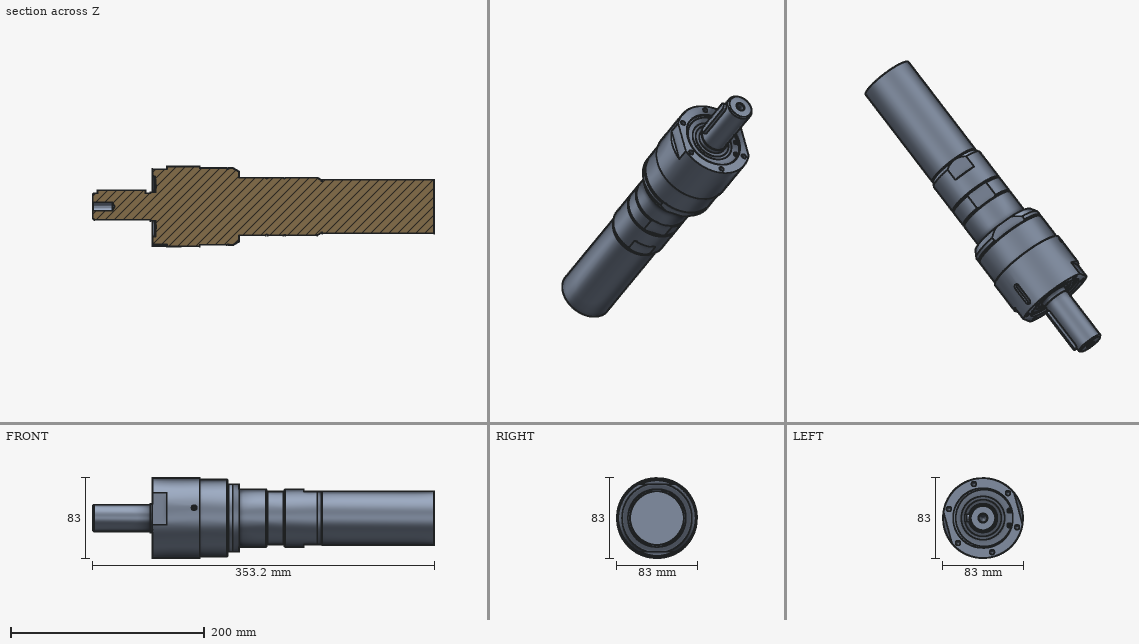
import cadquery as cq
import math

total_length = 353.2
collar_start = 59.6
body_start = 61.8
body_end = 110.7
sleeve_end = 139.7
nut_end = 151.4
neck_end = 180.0
ring_end = 198.3
locknut_end = 236.5
tail_start = 237.3

shaft_diameter = 28.0
collar_diameter = 30.0
body_diameter = 83.0
sleeve_diameter = 80.0
neck_diameter = 60.0
tail_groove_diameter = 53.27
tail_diameter = 56.0

shaft_chamfer = 1.5
joint_chamfer = 1.0
nut_taper_length = 6.6
locknut_taper_length = 4.4
taper_angle = 30.0

nut_across_flats = 70.0
ring_across_flats = 55.0
locknut_flat_length = 18.0
body_across_flats = 75.5
body_flat_length = 15.0
body_flat_tilt = 15.0

key_start = 4.7
key_length = 50.0
key_width = 8.0
key_top = 17.0

slot_start = 66.5
slot_length = 25.0
slot_width = 6.0
slot_depth = 4.0
slot_angle = 45.0
side_hole_x = 104.9
side_hole_mouth_diameter = 5.5
side_hole_diameter = 3.6
side_hole_depth = 10.0

bolt_count = 6
bolt_circle_radius = 36.5
bolt_hole_diameter = 5.0
bolt_hole_depth = 10.0
bolt_first_angle = 15.0
recess_diameter = 62.0
recess_depth = 3.0
seal_outer_diameter = 45.0
seal_inner_diameter = 38.0
seal_groove_depth = 0.5

clip_thickness = 0.5
clip_inner_radius = 29.4
clip_inner_offset = 1.2
lug_radius = 2.3
lug_hole_diameter = 2.4
lug_y = -27.3
lug_spacing = 15.4
clip_gap = lug_spacing - 2 * lug_radius

center_hole_mouth_diameter = 9.6
center_hole_diameter = 8.5
center_hole_depth = 20.0

drill_point_angle = 118.0


def cylinder(start, length, diameter):
    return cq.Workplane("YZ", origin=(start, 0, 0)).circle(diameter / 2).extrude(length)


def joint_groove(joint, radius):
    """Corner points of the V groove where two chamfered rings meet."""
    return [(joint - joint_chamfer, radius), (joint, radius - joint_chamfer), (joint + joint_chamfer, radius)]


def turned_body():
    """Solid of revolution; the outline is a list of (x, radius) corners."""
    shaft_r = shaft_diameter / 2
    collar_r = collar_diameter / 2
    body_r = body_diameter / 2
    sleeve_r = sleeve_diameter / 2
    neck_r = neck_diameter / 2
    groove_r = tail_groove_diameter / 2
    tail_r = tail_diameter / 2
    taper_slope = math.tan(math.radians(taper_angle))
    nut_end_r = sleeve_r - nut_taper_length * taper_slope
    locknut_end_r = neck_r - locknut_taper_length * taper_slope

    outline = [(0, 0), (0, shaft_r - shaft_chamfer), (shaft_chamfer, shaft_r), (collar_start, shaft_r)]
    outline += [(collar_start, collar_r), (body_start, collar_r)]
    outline += [(body_start, body_r), (body_end, body_r), (body_end, sleeve_r)]
    outline += joint_groove(sleeve_end, sleeve_r)
    outline += [(nut_end - nut_taper_length, sleeve_r), (nut_end, nut_end_r), (nut_end, neck_r)]
    outline += joint_groove(neck_end, neck_r)
    outline += joint_groove(ring_end, neck_r)
    outline += [(locknut_end - locknut_taper_length, neck_r), (locknut_end, locknut_end_r)]
    outline += [(locknut_end, groove_r), (tail_start, groove_r), (tail_start, tail_r)]
    outline += [(total_length, tail_r), (total_length, 0)]
    return cq.Workplane("XY").polyline(outline).close().revolve(360, (0, 0, 0), (1, 0, 0))


def flats_cutter(start, end, across_flats, tilt=0.0):
    """Material outside two parallel planes, over one stretch of the axis."""
    length = end - start
    slab = cq.Workplane("XY").box(length, 2 * body_diameter, across_flats)
    stock = cq.Workplane("XY").box(length, body_diameter, 2 * body_diameter)
    cutter = stock.cut(slab).translate(((start + end) / 2, 0, 0))
    return cutter.rotate((0, 0, 0), (1, 0, 0), tilt)


def turn(shape, angle):
    """Turn a shape built toward -Y about the axis, so that it rises by angle toward +Z."""
    return shape.rotate((0, 0, 0), (1, 0, 0), -angle)


def shaft_key():
    key = cq.Workplane("XZ").center(key_start + key_length / 2, 0).slot2D(key_length, key_width)
    return key.extrude(-key_top)


def body_slot():
    """Round-ended slot cut into the side of the body."""
    slot = cq.Workplane("XZ", origin=(0, -(body_diameter / 2 - slot_depth), 0))
    slot = slot.center(slot_start + slot_length / 2, 0).slot2D(slot_length, slot_width)
    return turn(slot.extrude(2 * slot_depth), 180 - slot_angle)


def drilled_hole(diameter, depth, mouth_diameter=0.0):
    """Cutter for a drilled hole that enters at the origin and runs along +X."""
    hole_r = diameter / 2
    mouth_r = mouth_diameter / 2
    point_length = hole_r / math.tan(math.radians(drill_point_angle / 2))
    outline = [(0, 0), (0, hole_r)]
    if mouth_r > hole_r:
        outline = [(0, 0), (0, mouth_r), (mouth_r - hole_r, hole_r)]
    outline += [(depth, hole_r), (depth + point_length, 0)]
    return cq.Workplane("XY").polyline(outline).close().revolve(360, (0, 0, 0), (1, 0, 0))


def side_hole():
    hole = drilled_hole(side_hole_diameter, side_hole_depth, side_hole_mouth_diameter)
    hole = hole.rotate((0, 0, 0), (0, 0, 1), 90).translate((side_hole_x, -body_diameter / 2, 0))
    return turn(hole, body_flat_tilt)


def bolt_holes():
    hole = drilled_hole(bolt_hole_diameter, bolt_hole_depth)
    hole = hole.translate((body_start, bolt_circle_radius, 0))
    holes = cq.Workplane("XY")
    for index in range(bolt_count):
        angle = bolt_first_angle + index * 360 / bolt_count
        holes = holes.add(hole.rotate((0, 0, 0), (1, 0, 0), angle))
    return holes.combine()


def front_recess():
    """Round recess around the collar, with a shallow seal groove in its floor."""
    floor = body_start + recess_depth
    recess = cylinder(body_start, recess_depth, recess_diameter)
    recess = recess.cut(cylinder(body_start, recess_depth, collar_diameter))
    groove = cylinder(floor, seal_groove_depth, seal_outer_diameter)
    groove = groove.cut(cylinder(floor, seal_groove_depth, seal_inner_diameter))
    return recess.union(groove)


def retaining_ring():
    """Eccentric ring lying on the recess floor, with two drilled lugs beside its gap."""
    start = body_start + recess_depth - clip_thickness
    plane = cq.Workplane("YZ", origin=(start, 0, 0))
    lug_centers = [(lug_y, lug_spacing / 2), (lug_y, -lug_spacing / 2)]
    inside = plane.center(-clip_inner_offset, 0).circle(clip_inner_radius).extrude(clip_thickness)
    gap = plane.center(-recess_diameter / 2, 0).rect(recess_diameter / 2, clip_gap).extrude(clip_thickness)
    lugs = plane.pushPoints(lug_centers).circle(lug_radius).extrude(clip_thickness)
    lug_holes = plane.pushPoints(lug_centers).circle(lug_hole_diameter / 2).extrude(clip_thickness)
    ring = cylinder(start, clip_thickness, recess_diameter).cut(inside).union(lugs)
    return ring.cut(gap).cut(lug_holes)


body_flat_end = body_start + body_flat_length
locknut_flat_start = locknut_end - locknut_flat_length

result = turned_body().union(shaft_key())
result = result.cut(flats_cutter(body_start, body_flat_end, body_across_flats, 90 - body_flat_tilt))
result = result.cut(flats_cutter(sleeve_end, nut_end, nut_across_flats))
result = result.cut(flats_cutter(neck_end, ring_end, ring_across_flats))
result = result.cut(flats_cutter(locknut_flat_start, locknut_end, ring_across_flats))
result = result.cut(body_slot()).cut(side_hole()).cut(bolt_holes())
result = result.cut(front_recess()).union(retaining_ring())
result = result.cut(drilled_hole(center_hole_diameter, center_hole_depth, center_hole_mouth_diameter))